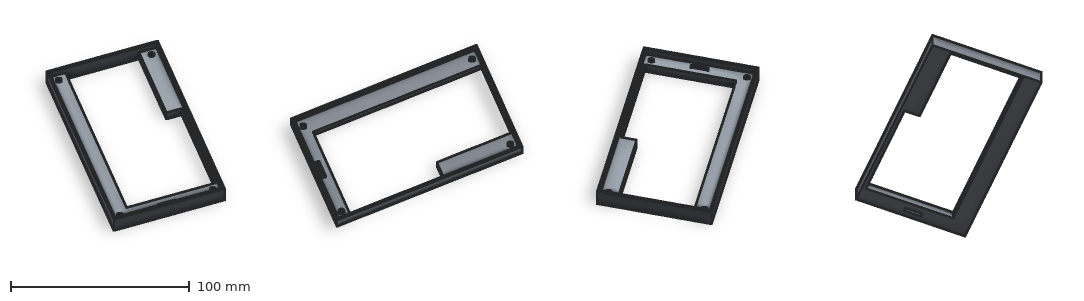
import cadquery as cq

length = 112.4
width = 65.8
height = 10.0
end_wall = 1.3
side_wall = 1.1

recess_depth = 4.0
ledge_height = height - recess_depth

window_front_margin = 10.7
window_back_margin = 2.4
window_right_margin = 8.8

block_end = 47.0
block_back_margin = 11.5

hole_diameter = 3.1
hole_depth = 4.0
hole_end_margin = 5.0
hole_side_margin = 5.4

slot_width = 2.0
slot_length = 10.1
slot_right_margin = 3.0

left = -length / 2
right = length / 2
front = -width / 2
back = width / 2


def make_tray():
    """Solid slab with the rim recess cut into its top."""
    slab = cq.Workplane("XY").box(length, width, height, centered=(True, True, False))
    recess = (
        cq.Workplane("XY")
        .workplane(offset=ledge_height)
        .rect(length - 2 * end_wall, width - 2 * side_wall)
        .extrude(recess_depth)
    )
    return slab.cut(recess)


def make_window():
    """L-shaped opening that leaves the corner block standing."""
    window_left = left + end_wall
    window_right = right - window_right_margin
    window_front = front + window_front_margin
    window_back = back - window_back_margin
    block_right = left + block_end
    block_front = back - block_back_margin
    outline = [
        (window_left, window_front),
        (window_right, window_front),
        (window_right, window_back),
        (block_right, window_back),
        (block_right, block_front),
        (window_left, block_front),
    ]
    return cq.Workplane("XY").polyline(outline).close().extrude(ledge_height)


def make_screw_holes():
    """Four blind holes sunk from the ledge surface."""
    return (
        cq.Workplane("XY")
        .workplane(offset=ledge_height - hole_depth)
        .rect(length - 2 * hole_end_margin, width - 2 * hole_side_margin, forConstruction=True)
        .vertices()
        .circle(hole_diameter / 2)
        .extrude(hole_depth)
    )


def make_slot():
    """Rectangular slot through the full ledge height."""
    slot_x = right - slot_right_margin - slot_width / 2
    return cq.Workplane("XY").center(slot_x, 0).rect(slot_width, slot_length).extrude(ledge_height)


result = make_tray().cut(make_window()).cut(make_screw_holes()).cut(make_slot())